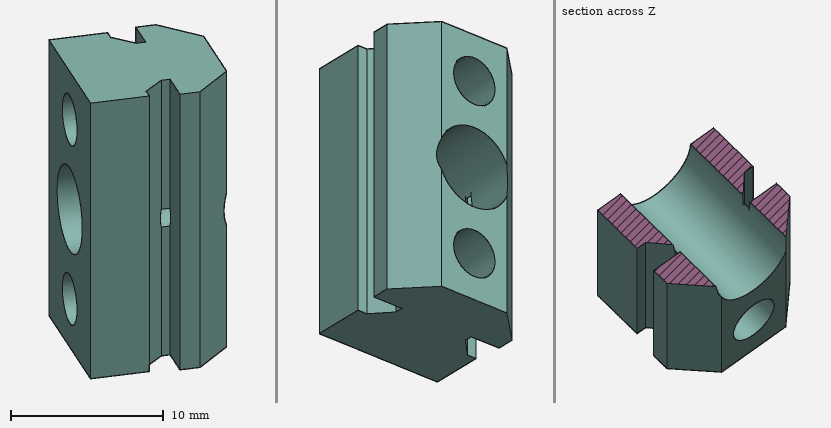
import cadquery as cq

height = 20.0
depth = 9.9
head_width = 10.6

base_width = 10.0
base_depth = 4.0
neck_width = 5.85
ledge_half_width = 4.25
neck_start = 5.4
head_start = 6.0
head_chamfer = 2.55

bore_diameter = 6.0
screw_hole_diameter = 3.5
screw_hole_offset = 6.5


def make_body():
    """Extrude the grooved, chamfered profile along Z, centred on Z = 0."""
    right_side = [
        (base_width / 2, 0),
        (base_width / 2, base_depth),
        (ledge_half_width, base_depth),
        (neck_width / 2, neck_start),
        (neck_width / 2, head_start),
        (head_width / 2, head_start),
        (head_width / 2, depth - head_chamfer),
        (head_width / 2 - head_chamfer, depth),
    ]
    left_side = [(-x, y) for x, y in reversed(right_side)]
    profile = cq.Workplane("XY").polyline(right_side + left_side).close()
    return profile.extrude(height / 2, both=True)


def make_hole(diameter, z):
    """Cylinder along Y through the full depth of the block."""
    return cq.Workplane("XZ").center(0, z).circle(diameter / 2).extrude(-depth)


result = make_body().cut(make_hole(bore_diameter, 0))
for hole_z in (-screw_hole_offset, screw_hole_offset):
    result = result.cut(make_hole(screw_hole_diameter, hole_z))